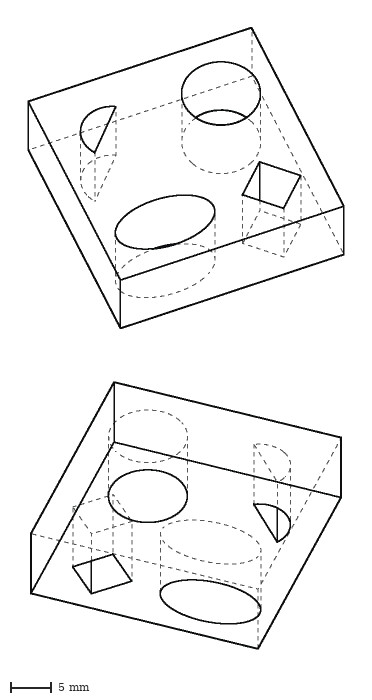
import cadquery as cq

plate_side = 30.0
plate_thickness = 10.0

round_center = (-7.0, 7.6)
round_diameter = 9.8

diamond_center = (8.55, 7.95)
diamond_diagonal = 7.8

ellipse_center = (8.8, -6.45)
ellipse_half_width = 3.65
ellipse_half_length = 6.5

chord_start = (-10.1, -5.25)
chord_end = (-4.5, -10.4)
arc_point = (-9.45, -9.95)


def profile_plane(center=(0, 0)):
    """Workplane on the bottom face level, with its origin moved to center."""
    return cq.Workplane("XY").center(*center)


def make_plate():
    return profile_plane().rect(plate_side, plate_side).extrude(plate_thickness)


def round_profile():
    return profile_plane(round_center).circle(round_diameter / 2)


def diamond_profile():
    return profile_plane(diamond_center).polygon(4, diamond_diagonal)


def ellipse_profile():
    return profile_plane(ellipse_center).ellipse(ellipse_half_width, ellipse_half_length)


def segment_profile():
    return profile_plane().moveTo(*chord_start).threePointArc(arc_point, chord_end).close()


result = make_plate()
for profile in (round_profile(), diamond_profile(), ellipse_profile(), segment_profile()):
    result = result.cut(profile.extrude(plate_thickness))